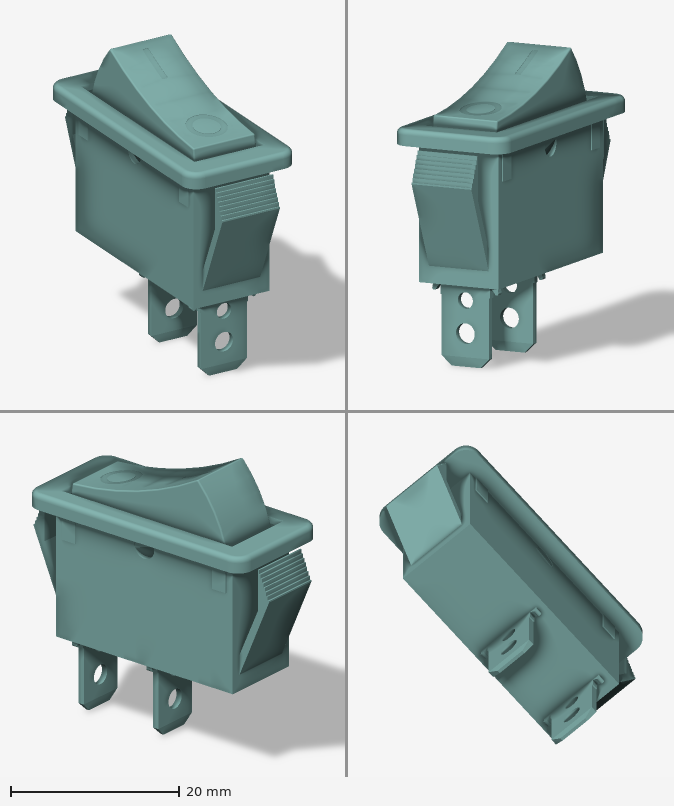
import math

import cadquery as cq


BEZEL_LENGTH = 33.0
BEZEL_WIDTH = 15.0
BEZEL_HEIGHT = 2.0
BEZEL_CORNER_RADIUS = 2.0
BEZEL_RIM_RADIUS = 0.65

WELL_LENGTH = 26.1
WELL_WIDTH = 9.72
WELL_BEVEL = 0.55
WELL_FLOOR_Z = 0.4

BODY_LENGTH = 27.0
BODY_WIDTH = 10.6
BODY_HEIGHT = 16.9
PAD_WIDTH = 2.1
PAD_HEIGHT = 4.0
PAD_THICKNESS = 0.15
PAD_CENTER_X = 11.5

PIVOT_Z = -1.55
ROCKER_TILT = 16.8
ROCKER_WIDTH = 8.6
ROCKER_HALF_TOP = 10.0
ROCKER_PEAK = 7.88
ROCKER_SKIRT_TOP = -0.6
ROCKER_SKIRT_BOTTOM = -4.0
ROCKER_SAG = 1.15
ROCKER_HALF_BASE = 11.92
ROCKER_END_RADIUS = 22.0
ROCKER_EDGE_RADIUS = 0.2

MARK_DEPTH = 0.05
ON_MARK_LENGTH = 4.6
ON_MARK_WIDTH = 0.8
ON_MARK_X = -3.95
OFF_MARK_X = 7.83
OFF_MARK_OUTER_DIAMETER = 5.0
OFF_MARK_INNER_DIAMETER = 3.4

PIN_DIAMETER = 3.0
PIN_BEVEL_ANGLE = 65.0
PIN_RECESS = 0.05

CLIP_SPAN = 36.0
CLIP_WIDTH = 8.0
CLIP_TOP_Z = -0.4
CLIP_INNER_X = 16.3
CLIP_TOP_X = 16.5
CLIP_STEP_COUNT = 7
CLIP_STEP_HEIGHT = 0.515
CLIP_LAST_STEP_HEIGHT = 0.2
CLIP_BEND_Z = -5.75
CLIP_ROOT_TOP_Z = -12.2
CLIP_ROOT_BOTTOM_Z = -14.8

TERMINAL_XS = (0.0, 11.4)
TERMINAL_THICKNESS = 0.8
TERMINAL_WIDTH = 6.35
TERMINAL_BOTTOM_Z = -27.0
TIP_HEIGHT = 1.2
TIP_WIDTH = 3.9
TIP_THICKNESS = 0.4
SHOULDER_WIDTH = 6.65
SHOULDER_BOTTOM_Z = -18.45
SMALL_HOLE_DIAMETER = 2.0
SMALL_HOLE_Z = -18.95
LARGE_HOLE_DIAMETER = 2.5
LARGE_HOLE_Z = -22.95

BARB_NOTCH_Z = -17.1
BARB_INNER_END = (3.9, -17.75)
BARB_TIP = (4.18, -18.0)
BARB_OUTER_END = (4.4, -17.6)
BARB_ROOT_Y = 4.3

OVERLAP = 1.0


def mirrored_y(solid):
    return solid.union(solid.mirror("XZ"))


def make_bezel():
    bezel = cq.Workplane("XY").box(BEZEL_LENGTH, BEZEL_WIDTH, BEZEL_HEIGHT, centered=(True, True, False))
    bezel = bezel.edges("|Z").fillet(BEZEL_CORNER_RADIUS)
    return bezel.faces(">Z").edges().fillet(BEZEL_RIM_RADIUS)


def make_well():
    inner_length = WELL_LENGTH - 2 * WELL_BEVEL
    inner_width = WELL_WIDTH - 2 * WELL_BEVEL
    mouth = (
        cq.Workplane("XY", origin=(0, 0, BEZEL_HEIGHT))
        .rect(WELL_LENGTH, WELL_WIDTH)
        .workplane(offset=-WELL_BEVEL)
        .rect(inner_length, inner_width)
        .loft(ruled=True)
    )
    shaft = cq.Workplane("XY", origin=(0, 0, WELL_FLOOR_Z)).rect(inner_length, inner_width)
    return mouth.union(shaft.extrude(BEZEL_HEIGHT - WELL_BEVEL - WELL_FLOOR_Z))


def make_body():
    body = cq.Workplane("XY").box(BODY_LENGTH, BODY_WIDTH, BODY_HEIGHT, centered=(True, True, False))
    body = body.translate((0, 0, -BODY_HEIGHT))
    for x in (-PAD_CENTER_X, PAD_CENTER_X):
        pad = cq.Workplane("XY").box(PAD_WIDTH, BODY_WIDTH + 2 * PAD_THICKNESS, PAD_HEIGHT)
        body = body.union(pad.translate((x, 0, -PAD_HEIGHT / 2)))
    return body


def tip_about_pivot(solid):
    tipped = solid.rotate((0, 0, 0), (0, 1, 0), ROCKER_TILT)
    return tipped.translate((0, 0, PIVOT_Z))


def off_mark_ring():
    return cq.Workplane("XY").circle(OFF_MARK_OUTER_DIAMETER / 2).circle(OFF_MARK_INNER_DIAMETER / 2)


def rocker_profile():
    """Rocker outline about its pivot: dished top, bulging ends, straight skirt below."""
    half_rise = (ROCKER_PEAK - ROCKER_SKIRT_TOP) / 2
    bulge_x = ROCKER_HALF_BASE - ROCKER_END_RADIUS + math.sqrt(ROCKER_END_RADIUS**2 - half_rise**2)
    bulge_z = ROCKER_SKIRT_TOP + half_rise
    return (
        cq.Workplane("XZ")
        .moveTo(-ROCKER_HALF_BASE, ROCKER_SKIRT_BOTTOM)
        .lineTo(-ROCKER_HALF_BASE, ROCKER_SKIRT_TOP)
        .threePointArc((-bulge_x, bulge_z), (-ROCKER_HALF_TOP, ROCKER_PEAK))
        .threePointArc((0, ROCKER_PEAK - ROCKER_SAG), (ROCKER_HALF_TOP, ROCKER_PEAK))
        .threePointArc((bulge_x, bulge_z), (ROCKER_HALF_BASE, ROCKER_SKIRT_TOP))
        .lineTo(ROCKER_HALF_BASE, ROCKER_SKIRT_BOTTOM)
        .close()
    )


def make_rocker():
    rocker = rocker_profile().extrude(ROCKER_WIDTH / 2, both=True)
    rocker = rocker.faces("not <Z").edges("not <Z").fillet(ROCKER_EDGE_RADIUS)
    return tip_about_pivot(rocker)


def make_marks(rocker):
    """The layer of the rocker just under its top, limited to the shapes of the marks."""
    bar = cq.Workplane("XY").rect(ON_MARK_LENGTH, ON_MARK_WIDTH).extrude(BEZEL_LENGTH)
    ring = off_mark_ring().extrude(BEZEL_LENGTH)
    columns = bar.translate((ON_MARK_X, 0, 0)).union(ring.translate((OFF_MARK_X, 0, 0)))
    return columns.cut(rocker.translate((0, 0, -MARK_DEPTH)))


def make_pin_pockets():
    """Air in front of each pin end: a shallow disc plus the wedge below the centre line."""
    radius = PIN_DIAMETER / 2
    face_y = -BODY_WIDTH / 2
    pin_end_y = face_y + PIN_RECESS
    bevel_end_y = pin_end_y + radius / math.tan(math.radians(PIN_BEVEL_ANGLE))
    air = (
        cq.Workplane("YZ")
        .polyline(
            [(face_y, radius), (pin_end_y, radius), (pin_end_y, 0), (bevel_end_y, -radius), (face_y, -radius)]
        )
        .close()
        .extrude(radius, both=True)
    )
    pin = cq.Workplane("XZ").circle(radius).extrude(BODY_WIDTH)
    return mirrored_y(tip_about_pivot(air.intersect(pin)))


def make_clip():
    """Clip on the +X end: stepped grip outside, thin leg running down to the body."""
    outer_x = CLIP_SPAN / 2
    step_depth = (outer_x - CLIP_TOP_X) / CLIP_STEP_COUNT
    points = [(CLIP_INNER_X, CLIP_TOP_Z), (CLIP_TOP_X, CLIP_TOP_Z)]
    for step in range(CLIP_STEP_COUNT):
        ledge_z = CLIP_TOP_Z - (step + 1) * CLIP_STEP_HEIGHT
        points.append((CLIP_TOP_X + step * step_depth, ledge_z))
        points.append((CLIP_TOP_X + (step + 1) * step_depth, ledge_z))
    points.append((outer_x, points[-1][1] - CLIP_LAST_STEP_HEIGHT))
    points.append((BODY_LENGTH / 2, CLIP_ROOT_BOTTOM_Z))
    points.append((BODY_LENGTH / 2 - OVERLAP, CLIP_ROOT_BOTTOM_Z))
    points.append((BODY_LENGTH / 2 - OVERLAP, CLIP_ROOT_TOP_Z))
    points.append((BODY_LENGTH / 2, CLIP_ROOT_TOP_Z))
    points.append((CLIP_INNER_X, CLIP_BEND_Z))
    return cq.Workplane("XZ").polyline(points).close().extrude(CLIP_WIDTH / 2, both=True)


def make_blade():
    tip_z = TERMINAL_BOTTOM_Z + TIP_HEIGHT
    root_z = OVERLAP - BODY_HEIGHT
    half_outline = [
        (0, root_z),
        (SHOULDER_WIDTH / 2, root_z),
        (SHOULDER_WIDTH / 2, SHOULDER_BOTTOM_Z),
        (TERMINAL_WIDTH / 2, SHOULDER_BOTTOM_Z),
        (TERMINAL_WIDTH / 2, tip_z),
        (TIP_WIDTH / 2, TERMINAL_BOTTOM_Z),
        (0, TERMINAL_BOTTOM_Z),
    ]
    half_blade = cq.Workplane("YZ").polyline(half_outline).close().extrude(TERMINAL_THICKNESS / 2, both=True)
    blade = mirrored_y(half_blade)
    side_outline = [
        (-TERMINAL_THICKNESS / 2, root_z),
        (-TERMINAL_THICKNESS / 2, tip_z),
        (-TIP_THICKNESS / 2, TERMINAL_BOTTOM_Z),
        (TIP_THICKNESS / 2, TERMINAL_BOTTOM_Z),
        (TERMINAL_THICKNESS / 2, tip_z),
        (TERMINAL_THICKNESS / 2, root_z),
    ]
    side_envelope = cq.Workplane("XZ").polyline(side_outline).close().extrude(BODY_WIDTH / 2, both=True)
    blade = blade.intersect(side_envelope)
    for diameter, z in ((SMALL_HOLE_DIAMETER, SMALL_HOLE_Z), (LARGE_HOLE_DIAMETER, LARGE_HOLE_Z)):
        hole = cq.Workplane("YZ").circle(diameter / 2).extrude(TERMINAL_THICKNESS, both=True)
        blade = blade.cut(hole.translate((0, 0, z)))
    return blade


def make_barbs():
    root_z = OVERLAP - BODY_HEIGHT
    barb = (
        cq.Workplane("YZ")
        .moveTo(SHOULDER_WIDTH / 2, root_z)
        .lineTo(SHOULDER_WIDTH / 2, BARB_NOTCH_Z)
        .lineTo(*BARB_INNER_END)
        .threePointArc(BARB_TIP, BARB_OUTER_END)
        .lineTo(BARB_ROOT_Y, -BODY_HEIGHT)
        .lineTo(BARB_ROOT_Y, root_z)
        .close()
        .extrude(TERMINAL_THICKNESS / 2, both=True)
    )
    return mirrored_y(barb)


def make_terminal():
    return make_blade().union(make_barbs())


def make_switch():
    rocker = make_rocker()
    switch = make_body().union(make_bezel()).cut(make_well()).union(rocker)
    switch = switch.cut(make_marks(rocker)).cut(make_pin_pockets())
    clip = make_clip()
    switch = switch.union(clip).union(clip.mirror("YZ"))
    terminal = make_terminal()
    for x in TERMINAL_XS:
        switch = switch.union(terminal.translate((x, 0, 0)))
    return switch


result = make_switch()